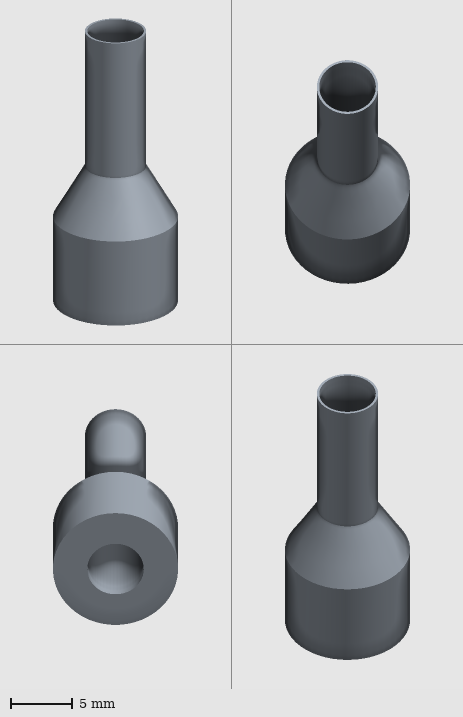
import cadquery as cq

total_height = 24.0
collar_diameter = 10.2
tube_diameter = 5.0
bore_diameter = 4.6

skirt_height = 7.5
cone_height = 4.5
collar_height = skirt_height + cone_height


def make_tube():
    """Thin metal sleeve running the full height of the ferrule."""
    return (
        cq.Workplane("XY")
        .circle(tube_diameter / 2)
        .circle(bore_diameter / 2)
        .extrude(total_height)
    )


def make_collar():
    """Insulating collar: a straight skirt that tapers to the tube, revolved about Z."""
    inner_radius = tube_diameter / 2
    outer_radius = collar_diameter / 2
    profile = [
        (inner_radius, 0),
        (outer_radius, 0),
        (outer_radius, skirt_height),
        (inner_radius, collar_height),
    ]
    return (
        cq.Workplane("XZ")
        .polyline(profile)
        .close()
        .revolve(360, (0, 0, 0), (0, 1, 0))
    )


tube = make_tube()
collar = make_collar()

result = cq.Compound.makeCompound([tube.val(), collar.val()])